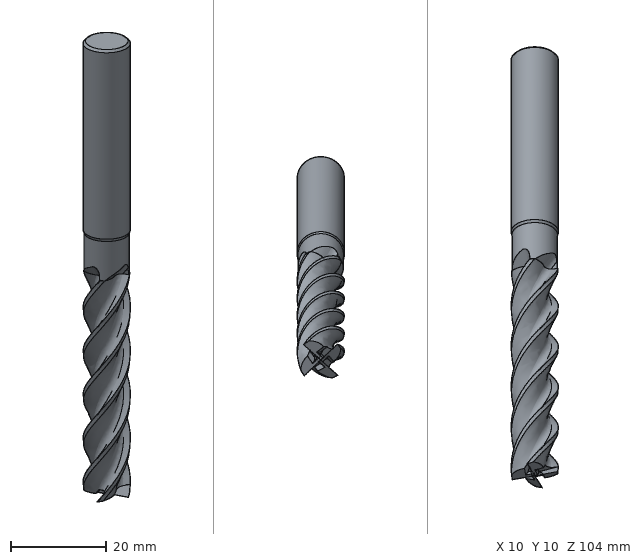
import cadquery as cq
import math

total_length = 104.0
cutter_diameter = 10.0
cutter_radius = cutter_diameter / 2
flute_count = 4
flute_pitch_angle = 360 / flute_count

cut_margin = 1.0

cutter_length = 51.0
neck_top = 60.0
neck_diameter = 9.6
neck_cone_height = 0.6
shank_end_chamfer = 0.5

helix_lead = 40.1
helix_twist = 360 * cutter_length / helix_lead

land_end_radius = 4.9
land_angle = 12.0
back_middle_radius = 3.6
back_middle_angle = 34.0
core_radius = 2.7
core_angle = 58.0
root_middle_radius = 2.7
root_middle_angle = 76.0
rake_foot_radius = 3.5
rake_foot_angle = -1.0

runout_height = 3.8
runout_travel = 3.0
runout_lean_angle = 7.0

end_relief_angle = 15.0
gash_lean_angle = 36.0
gash_start = 0.6
gash_start_height = 1.7
gash_end_height = 2.3
gash_width = 2.1
gash_fall = 0.2


def polar(radius, angle):
    """Point at a radius and an angle in degrees, counter-clockwise from +X."""
    turn = math.radians(angle)
    return (radius * math.cos(turn), radius * math.sin(turn))


def add_flute(outline, angle):
    """Continue an outline from the land end of the tooth at this angle to the next cutting edge."""
    next_tooth = angle + flute_pitch_angle
    return (
        outline.threePointArc(
            polar(back_middle_radius, angle + back_middle_angle),
            polar(core_radius, angle + core_angle),
        )
        .threePointArc(
            polar(root_middle_radius, angle + root_middle_angle),
            polar(rake_foot_radius, next_tooth + rake_foot_angle),
        )
        .lineTo(*polar(cutter_radius, next_tooth))
    )


def around_axis(body, start_angle=0.0):
    """Copies of a body, one for each flute."""
    return [
        body.rotate((0, 0, 0), (0, 0, 1), start_angle + number * flute_pitch_angle)
        for number in range(flute_count)
    ]


def oblique_prism(profile, direction):
    """Sweep a closed wire workplane along a straight vector that may lean."""
    return cq.Workplane(cq.Solid.extrudeLinear(profile.val(), [], cq.Vector(*direction)))


def fluted_bar():
    outline = cq.Workplane("XY").moveTo(cutter_radius, 0)
    for number in range(flute_count):
        angle = number * flute_pitch_angle
        outline = outline.lineTo(*polar(land_end_radius, angle + land_angle))
        outline = add_flute(outline, angle)
    return outline.close().twistExtrude(cutter_length, helix_twist)


def end_relief():
    """Wedge under one end tooth, rising behind its radial cutting edge."""
    reach = cutter_radius + cut_margin
    rise = reach * math.tan(math.radians(end_relief_angle))
    return cq.Workplane("YZ").polyline([(0, 0), (reach, 0), (reach, rise)]).close().extrude(reach)


def end_gash():
    """Notch in front of an end tooth, with one wall through the tooth's radial cutting edge."""
    lean = math.radians(gash_lean_angle)
    wall = cq.Plane(
        origin=(0, 0, 0),
        xDir=(0, 1, 0),
        normal=(math.cos(lean), 0, math.sin(lean)),
    )
    profile = cq.Workplane(wall).polyline(
        [
            (gash_start, 0),
            (cutter_radius, 0),
            (cutter_radius, gash_end_height / math.cos(lean)),
            (gash_start, gash_start_height / math.cos(lean)),
        ]
    ).close()
    return oblique_prism(profile, (gash_width, 0, -gash_fall))


def make_cutter():
    cutter = fluted_bar()
    for wedge in around_axis(end_relief()):
        cutter = cutter.cut(wedge)
    for notch in around_axis(end_gash()):
        cutter = cutter.cut(notch)
    return cutter


def flute_runout():
    """Straight continuation of one flute that climbs out of the neck."""
    outside = cutter_radius + cut_margin
    outline = cq.Workplane("XY", origin=(0, 0, cutter_length)).moveTo(
        *polar(land_end_radius, land_angle)
    )
    profile = (
        add_flute(outline, 0.0)
        .lineTo(*polar(outside, flute_pitch_angle))
        .lineTo(outside, outside)
        .lineTo(*polar(outside, land_angle))
        .close()
    )
    travel = polar(runout_travel, flute_pitch_angle - runout_lean_angle)
    return oblique_prism(profile, (*travel, runout_height))


def make_shank():
    neck_radius = neck_diameter / 2
    shank = (
        cq.Workplane("XZ")
        .moveTo(0, cutter_length)
        .lineTo(neck_radius, cutter_length)
        .lineTo(neck_radius, neck_top)
        .lineTo(cutter_radius, neck_top + neck_cone_height)
        .lineTo(cutter_radius, total_length - shank_end_chamfer)
        .lineTo(cutter_radius - shank_end_chamfer, total_length)
        .lineTo(0, total_length)
        .close()
        .revolve(360, (0, 0, 0), (0, 1, 0))
    )
    for runout in around_axis(flute_runout(), helix_twist):
        shank = shank.cut(runout)
    return shank


cutter = make_cutter()
shank = make_shank()

result = cq.Compound.makeCompound([cutter.solids().val(), shank.solids().val()])